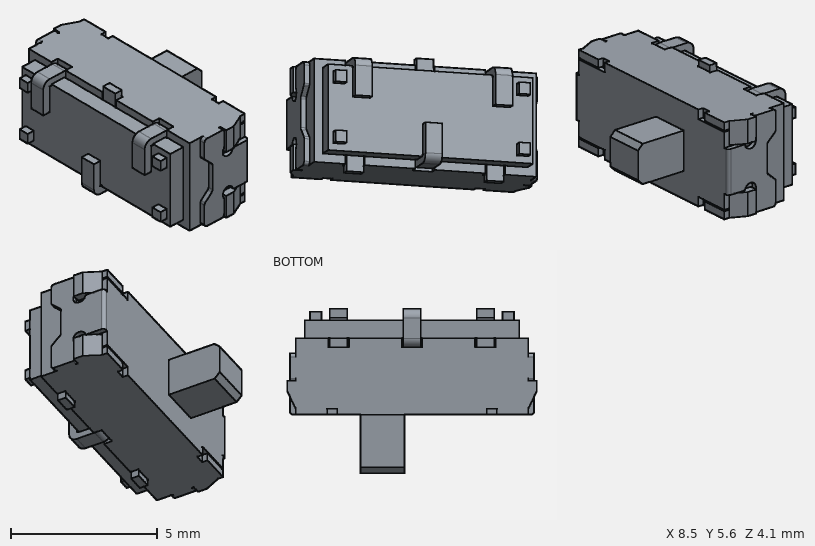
import cadquery as cq


overall_length = 8.5
housing_length = 7.92
housing_depth = 2.6
housing_height = 3.6
half_length = housing_length / 2
half_height = housing_height / 2

lip_depth = 0.2
lip_notch_width = 0.34
lip_notch_spacing = 5.44
lip_slit_bottom = 1.445
lip_slit_width = 0.05

plate_overall_length = 8.32
plate_thickness = (plate_overall_length - housing_length) / 2
plate_neck_height = 1.71
plate_wing_front = 1.445
plate_wing_back = 0.51
plate_bend_radius = 0.12
plate_corner_radius = 0.13
plate_step_radius = 0.12
plate_small_radius = 0.08
relief_radius = 0.24
relief_y = 1.615
relief_z = 0.875

plate_notch_depth = 0.38
plate_notch_floor = 1.105
plate_notch_mouth = 1.83
plate_notch_center = 0.08

lug_height = 0.9
lug_crest_y = 1.8
lug_top_y = housing_depth - lip_depth

knob_width = 1.505
knob_length = 2.0
knob_x = -1.0
knob_chamfer = 0.2

base_length = 7.3
base_depth = 0.61
base_height = 2.99
post_size = 0.4
post_length = 0.29
post_spacing_x = 6.545
post_spacing_z = 2.1

terminal_width = 0.6
terminal_thickness = 0.31
terminal_pitch = 2.5
terminal_slot_width = 0.7
terminal_reach = 1.0
terminal_tail_z = 2.05
terminal_leg_z = 1.75
terminal_foot_z = 0.39


def block(x_range, y_range, z_range):
    """Box between the given limits."""
    lows, highs = zip(x_range, y_range, z_range)
    sizes = [high - low for low, high in zip(lows, highs)]
    return cq.Workplane("XY").box(*sizes, centered=False).translate(lows)


def centered(size, middle=0.0):
    """Limits of a span of the given size about a middle."""
    return (middle - size / 2, middle + size / 2)


def mirrored_ends(shape):
    """The shape together with its mirror image on the other short end."""
    return shape.union(shape.mirror("YZ"))


def housing():
    """Box with a through slot for each terminal and slit lip corners."""
    body = block(centered(housing_length), (0, housing_depth), centered(housing_height))
    for x in (-terminal_pitch, 0, terminal_pitch):
        slot = block(
            centered(terminal_slot_width, x), (0, terminal_thickness), centered(housing_height)
        )
        body = body.cut(slot)

    lip_y = (housing_depth - lip_depth, housing_depth)
    notch_x = lip_notch_spacing / 2
    notch = block(centered(lip_notch_width, notch_x), lip_y, (lip_slit_bottom, half_height))
    slit = block(
        (notch_x, half_length), lip_y, (lip_slit_bottom, lip_slit_bottom + lip_slit_width)
    )
    corner = mirrored_ends(notch.union(slit))
    return body.cut(corner).cut(corner.mirror("XY"))


def round_corners(shape, points, radius):
    """Fillet the edges along X nearest to the given (y, z) points of the end plate."""
    for y, z in points:
        nearest = cq.NearestToPointSelector((half_length + plate_thickness / 2, y, z))
        shape = shape.edges("|X").edges(nearest).fillet(radius)
    return shape


def end_plate():
    """Plate on the +X end: a neck that widens to wings, with a notched back edge."""
    neck = plate_neck_height / 2
    notch_y = plate_wing_back + plate_notch_depth
    floor_low, floor_high = centered(plate_notch_floor, plate_notch_center)
    mouth_low, mouth_high = centered(plate_notch_mouth, plate_notch_center)
    outline = [
        (housing_depth, neck),
        (plate_wing_front, neck),
        (plate_wing_front, half_height),
        (plate_wing_back, half_height),
        (plate_wing_back, mouth_high),
        (notch_y, floor_high),
        (notch_y, floor_low),
        (plate_wing_back, mouth_low),
        (plate_wing_back, -half_height),
        (plate_wing_front, -half_height),
        (plate_wing_front, -neck),
        (housing_depth, -neck),
    ]

    plate_plane = cq.Workplane("YZ", origin=(half_length, 0, 0))
    plate = plate_plane.polyline(outline).close().extrude(plate_thickness)
    relief = (
        plate_plane.pushPoints([(relief_y, relief_z), (relief_y, -relief_z)])
        .circle(relief_radius)
        .extrude(plate_thickness)
    )
    plate = plate.cut(relief)

    wing_corners = [(plate_wing_back, side * half_height) for side in (1, -1)]
    front_corners = [(plate_wing_front, side * half_height) for side in (1, -1)]
    neck_corners = [(relief_y + relief_radius, side * neck) for side in (1, -1)]
    notch_corners = [
        (plate_wing_back, mouth_high),
        (notch_y, floor_high),
        (notch_y, floor_low),
        (plate_wing_back, mouth_low),
    ]
    plate = round_corners(plate, wing_corners, plate_corner_radius)
    plate = round_corners(plate, front_corners + neck_corners, plate_small_radius)
    plate = round_corners(plate, notch_corners, plate_step_radius)
    return plate.faces(">Y").edges(">X").fillet(plate_bend_radius)


def snap_lugs():
    """Upper and lower ramped lugs on the +X end."""
    lug = (
        cq.Workplane("XY", origin=(0, 0, half_height - lug_height))
        .moveTo(half_length, lug_top_y)
        .lineTo(overall_length / 2, lug_crest_y)
        .lineTo(overall_length / 2, plate_wing_front)
        .lineTo(half_length, plate_wing_front)
        .close()
        .extrude(lug_height)
    )
    return lug.union(lug.mirror("XY"))


def knob():
    """Slider knob with its upper and lower tip edges chamfered."""
    tip_y = housing_depth + knob_length
    shape = block(centered(knob_width, knob_x), (housing_depth, tip_y), centered(knob_width))
    return shape.faces(">Y").edges("|X").chamfer(knob_chamfer)


def contact_base():
    """Raised base with four standoff posts."""
    base = block(centered(base_length), (-base_depth, 0), centered(base_height))
    for x in (-post_spacing_x / 2, post_spacing_x / 2):
        for z in (-post_spacing_z / 2, post_spacing_z / 2):
            post_y = (-base_depth - post_length, -base_depth)
            base = base.union(block(centered(post_size, x), post_y, centered(post_size, z)))
    return base


def terminal(x):
    """Bent strip: tail through the housing to -Z, leg above the base, foot turned down."""
    bend = terminal_thickness
    foot_inner_y = bend - terminal_reach
    leg_under_z = terminal_leg_z - terminal_thickness
    return (
        cq.Workplane("YZ", origin=(x - terminal_width / 2, 0, 0))
        .moveTo(0, -terminal_tail_z)
        .lineTo(terminal_thickness, -terminal_tail_z)
        .lineTo(terminal_thickness, terminal_leg_z - bend)
        .radiusArc((0, terminal_leg_z), -bend)
        .lineTo(foot_inner_y, terminal_leg_z)
        .radiusArc((-terminal_reach, terminal_leg_z - bend), -bend)
        .lineTo(-terminal_reach, terminal_foot_z)
        .lineTo(foot_inner_y, terminal_foot_z)
        .lineTo(foot_inner_y, leg_under_z)
        .lineTo(0, leg_under_z)
        .close()
        .extrude(terminal_width)
    )


result = housing().union(mirrored_ends(end_plate())).union(mirrored_ends(snap_lugs()))
result = result.union(knob()).union(contact_base())
for outer_x in (-terminal_pitch, terminal_pitch):
    result = result.union(terminal(outer_x))
result = result.union(terminal(0).mirror("XY"))